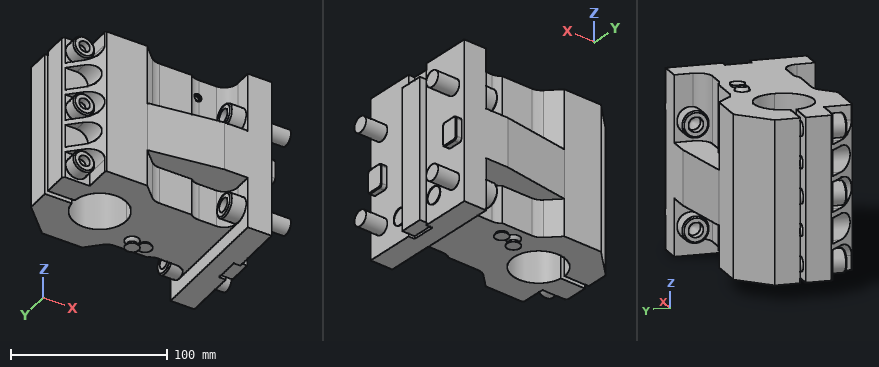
import cadquery as cq
import math


BODY_HEIGHT = 110.0
BODY_HALF_WIDTH = 40.0
FRONT_X = -40.0
FRONT_CHAMFER = 21.0
BORE_DIAMETER = 40.0
SLOT_WIDTH = 3.7
FLANGE_X = 82.0
BACK_X = 100.0
FLANGE_HALF_WIDTH = 47.5
FLANGE_DROP = 11.0
TAPER_START_X = 11.3
TAPER_END_X = 64.3

RIB_BOTTOM = 28.0
RIB_TOP = 65.0
RECESS_FLOOR_Y = 27.5
RECESS_DEEP_FLOOR_Y = 25.0
RECESS_RADIUS = 10.0
RECESS_BEND_X = 23.7
RECESS_SINK_X = 58.8
FLARE_ANGLE = 45.0

CLAMP_X = -30.0
CLAMP_SPACING = 45.0
POCKET_FLOOR_Y = -20.5
SCREW_POCKET_RADIUS = 10.0
JACK_POCKET_RADIUS = 8.65
CLAMP_SHANK_DIAMETER = 10.0
CLAMP_HEAD_DIAMETER = 16.0
CLAMP_HEAD_LENGTH = 10.0
CLAMP_SOCKET_DIAMETER = 8.0
CLAMP_SOCKET_DEPTH = 5.0

JACK_TIP_LENGTH = 1.8
JACK_BASE_DIAMETER = 8.3
JACK_TIP_DIAMETER = 6.3

BOLT_Y = 36.5
BOLT_SPACING = 70.0
BOLT_LOW_Z = 9.0
BOLT_DIAMETER = 12.0
BOLT_END_X = 117.5
BOLT_HEAD_DIAMETER = 18.0
BOLT_HEAD_LENGTH = 11.6
BOLT_SOCKET_DIAMETER = 10.0
BOLT_SOCKET_DEPTH = 6.0
HEAD_CHAMFER = 1.0
SOCKET_TIP_ANGLE = 120.0

KEY_WIDTH = 18.0
KEY_BOTTOM = -9.0
KEY_TOP = 98.0
KEY_SEAT_DEPTH = 5.0
KEY_PROJECTION = 5.2
PAD_INNER_Y = 31.0
PAD_OUTER_Y = 44.8
PAD_HEIGHT = 18.0
PAD_PROJECTION = 4.7
PAD_CORNER_RADIUS = 2.5
PAD_CHAMFER = 0.6
RING_DIAMETER = 12.8
RING_PROJECTION = 0.6
RING_Y = 17.0
RING_Z = 7.5

NOZZLE_X = 34.6
NOZZLE_Y = 17.0
NOZZLE_DIAMETER = 10.2
NOZZLE_TIP_DIAMETER = 6.4
NOZZLE_HEIGHT = 2.5
NOZZLE_BORE_DIAMETER = 4.6
NOZZLE_BORE_DEPTH = 2.0
SKIRT_LENGTH = 2.8
SKIRT_WAIST_DIAMETER = 5.8
PLUG_X = 44.2
PLUG_BASE_DIAMETER = 8.0
PLUG_DIAMETER = 10.2
PLUG_HEIGHT = 1.8
PORT_X = 58.3
PORT_Z = 96.0
PORT_DIAMETER = 4.2
PORT_DEPTH = 2.0
PORT_RIM_DIAMETER = 5.6
PORT_RIM_DEPTH = 0.5

MID_HEIGHT = BODY_HEIGHT / 2
BOLT_MID_Z = BOLT_LOW_Z + BOLT_SPACING / 2
CLAMP_HEIGHTS = [MID_HEIGHT + i * CLAMP_SPACING for i in (-1, 0, 1)]
JACK_HEIGHTS = [MID_HEIGHT + i * CLAMP_SPACING / 2 for i in (-1, 1)]
BOLT_HEIGHTS = [BOLT_LOW_Z, BOLT_LOW_Z + BOLT_SPACING]
SIDES = (-1, 1)
UP = (0, 0, 1)
DOWN = (0, 0, -1)


def block(x_range, y_range, z_range):
    """Box between the given limits along each axis."""
    lows, highs = zip(x_range, y_range, z_range)
    size = [high - low for low, high in zip(lows, highs)]
    return cq.Workplane("XY").box(*size, centered=False).translate(lows)


def rod(start, direction, length, diameter):
    """Cylinder that begins at a point and runs along a direction."""
    return cq.Workplane(cq.Solid.makeCylinder(diameter / 2, length, cq.Vector(start), cq.Vector(direction)))


def cone(start, direction, length, start_diameter, end_diameter):
    """Truncated cone that begins at a point and runs along a direction."""
    return cq.Workplane(
        cq.Solid.makeCone(start_diameter / 2, end_diameter / 2, length, cq.Vector(start), cq.Vector(direction))
    )


def socket_head(seat, outward, diameter, length, socket_diameter, socket_depth):
    """Screw head on a seat point, with a chamfered rim and a round socket that ends in a cone."""
    seat = cq.Vector(seat)
    outward = cq.Vector(outward)
    tip_length = socket_diameter / 2 / math.tan(math.radians(SOCKET_TIP_ANGLE / 2))
    socket_bottom = seat + outward * (length - socket_depth)
    head = rod(seat, outward, length - HEAD_CHAMFER, diameter)
    rim_start = seat + outward * (length - HEAD_CHAMFER)
    head = head.union(cone(rim_start, outward, HEAD_CHAMFER, diameter, diameter - 2 * HEAD_CHAMFER))
    head = head.cut(rod(socket_bottom, outward, socket_depth, socket_diameter))
    return head.cut(cone(socket_bottom, outward * -1, tip_length, socket_diameter, 0))


def make_body():
    """Clamp body with chamfered front corners, tapering out to the flange."""
    chamfer_x = FRONT_X + FRONT_CHAMFER
    chamfer_y = BODY_HALF_WIDTH - FRONT_CHAMFER
    half_outline = [
        (FRONT_X, chamfer_y),
        (chamfer_x, BODY_HALF_WIDTH),
        (TAPER_START_X, BODY_HALF_WIDTH),
        (TAPER_END_X, FLANGE_HALF_WIDTH),
        (BACK_X, FLANGE_HALF_WIDTH),
    ]
    other_half = [(x, -y) for x, y in reversed(half_outline)]
    body = cq.Workplane("XY").polyline(half_outline + other_half).close().extrude(BODY_HEIGHT)
    flange = block(
        (FLANGE_X, BACK_X), (-FLANGE_HALF_WIDTH, FLANGE_HALF_WIDTH), (-FLANGE_DROP, BODY_HEIGHT)
    )
    return body.union(flange)


def recess_tool(bottom, top):
    """Cutter for a recess on the +Y side, open outwards, between two heights."""
    flare = math.radians(FLARE_ANGLE)
    bend_tangent = RECESS_RADIUS * math.tan(flare / 2)
    bend_start = (
        RECESS_BEND_X - bend_tangent * math.cos(flare),
        RECESS_FLOOR_Y + bend_tangent * math.sin(flare),
    )
    bend_end = (RECESS_BEND_X + bend_tangent, RECESS_FLOOR_Y)
    sink_depth = RECESS_FLOOR_Y - RECESS_DEEP_FLOOR_Y
    sink_run = math.sqrt(RECESS_RADIUS**2 - (RECESS_RADIUS - sink_depth) ** 2)
    corner_y = RECESS_DEEP_FLOOR_Y + RECESS_RADIUS
    outside_y = FLANGE_HALF_WIDTH + RECESS_RADIUS
    flare_outside_x = RECESS_BEND_X - (outside_y - RECESS_FLOOR_Y) / math.tan(flare)
    return (
        cq.Workplane("XY", origin=(0, 0, bottom))
        .moveTo(flare_outside_x, outside_y)
        .lineTo(*bend_start)
        .radiusArc(bend_end, -RECESS_RADIUS)
        .lineTo(RECESS_SINK_X - sink_run, RECESS_FLOOR_Y)
        .radiusArc((RECESS_SINK_X, RECESS_DEEP_FLOOR_Y), -RECESS_RADIUS)
        .lineTo(FLANGE_X - RECESS_RADIUS, RECESS_DEEP_FLOOR_Y)
        .radiusArc((FLANGE_X, corner_y), -RECESS_RADIUS)
        .lineTo(FLANGE_X, outside_y)
        .close()
        .extrude(top - bottom)
    )


def cut_side_recesses(part):
    """Recesses above and below the rib on both sides."""
    for bottom, top in ((0, RIB_BOTTOM), (RIB_TOP, BODY_HEIGHT)):
        tool = recess_tool(bottom, top)
        part = part.cut(tool).cut(tool.mirror("XZ"))
    return part


def cut_bore_and_slot(part):
    """Through bore, opened to the front face by the clamping slot."""
    part = part.cut(rod((0, 0, 0), UP, BODY_HEIGHT, BORE_DIAMETER))
    slot = block((FRONT_X, 0), (-SLOT_WIDTH / 2, SLOT_WIDTH / 2), (0, BODY_HEIGHT))
    return part.cut(slot)


def cut_pocket(part, height, radius):
    """Round-ended pocket in the front chamfer, open towards the front."""
    part = part.cut(rod((CLAMP_X, POCKET_FLOOR_Y, height), (0, -1, 0), BODY_HALF_WIDTH, 2 * radius))
    opening = block(
        (FRONT_X, CLAMP_X), (-BODY_HALF_WIDTH, POCKET_FLOOR_Y), (height - radius, height + radius)
    )
    return part.cut(opening)


def cut_pockets(part):
    """Screw pockets and smaller jack pockets; the end pockets run square through the end faces."""
    for height in CLAMP_HEIGHTS:
        part = cut_pocket(part, height, SCREW_POCKET_RADIUS)
    for height in JACK_HEIGHTS:
        part = cut_pocket(part, height, JACK_POCKET_RADIUS)
    pocket_x = (FRONT_X, CLAMP_X + SCREW_POCKET_RADIUS)
    pocket_y = (-BODY_HALF_WIDTH, POCKET_FLOOR_Y)
    part = part.cut(block(pocket_x, pocket_y, (0, CLAMP_HEIGHTS[0])))
    return part.cut(block(pocket_x, pocket_y, (CLAMP_HEIGHTS[-1], BODY_HEIGHT)))


def add_clamp_screws(part):
    """Clamp screws across the slot, and the jack screw tips between them."""
    for height in CLAMP_HEIGHTS:
        shank = rod((CLAMP_X, -SLOT_WIDTH / 2, height), (0, 1, 0), SLOT_WIDTH, CLAMP_SHANK_DIAMETER)
        head = socket_head(
            (CLAMP_X, POCKET_FLOOR_Y, height),
            (0, -1, 0),
            CLAMP_HEAD_DIAMETER,
            CLAMP_HEAD_LENGTH,
            CLAMP_SOCKET_DIAMETER,
            CLAMP_SOCKET_DEPTH,
        )
        part = part.union(shank).union(head)
    for height in JACK_HEIGHTS:
        start = (CLAMP_X, -SLOT_WIDTH / 2, height)
        part = part.union(cone(start, (0, 1, 0), JACK_TIP_LENGTH, JACK_BASE_DIAMETER, JACK_TIP_DIAMETER))
    return part


def add_flange_bolts(part):
    """Four bolts through the flange, with their heads in the side recesses."""
    for height in BOLT_HEIGHTS:
        for side in SIDES:
            y = side * BOLT_Y
            head = socket_head(
                (FLANGE_X, y, height),
                (-1, 0, 0),
                BOLT_HEAD_DIAMETER,
                BOLT_HEAD_LENGTH,
                BOLT_SOCKET_DIAMETER,
                BOLT_SOCKET_DEPTH,
            )
            shank = rod((BACK_X, y, height), (1, 0, 0), BOLT_END_X - BACK_X, BOLT_DIAMETER)
            part = part.union(head).union(shank)
    return part


def add_back_details(part):
    """Keyway with its key, side locating pads and sealing rings on the back face."""
    key_y = (-KEY_WIDTH / 2, KEY_WIDTH / 2)
    seat_x = BACK_X - KEY_SEAT_DEPTH
    part = part.cut(block((seat_x, BACK_X), key_y, (-FLANGE_DROP, BODY_HEIGHT)))
    part = part.union(block((seat_x, BACK_X + KEY_PROJECTION), key_y, (KEY_BOTTOM, KEY_TOP)))
    pad = block(
        (BACK_X, BACK_X + PAD_PROJECTION),
        (PAD_INNER_Y, PAD_OUTER_Y),
        (BOLT_MID_Z - PAD_HEIGHT / 2, BOLT_MID_Z + PAD_HEIGHT / 2),
    )
    pad = pad.edges("|X").fillet(PAD_CORNER_RADIUS).faces(">X").chamfer(PAD_CHAMFER)
    part = part.union(pad).union(pad.mirror("XZ"))
    for side in SIDES:
        part = part.union(rod((BACK_X, side * RING_Y, RING_Z), (1, 0, 0), RING_PROJECTION, RING_DIAMETER))
    return part


def make_nozzle():
    """Rounded nozzle standing on the plane Z = 0, without its bore."""
    base_radius = NOZZLE_DIAMETER / 2
    tip_radius = NOZZLE_TIP_DIAMETER / 2
    centre_z = (NOZZLE_HEIGHT**2 + tip_radius**2 - base_radius**2) / (2 * NOZZLE_HEIGHT)
    sphere_radius = math.hypot(base_radius, centre_z)
    return (
        cq.Workplane("XZ")
        .lineTo(base_radius, 0)
        .radiusArc((tip_radius, NOZZLE_HEIGHT), -sphere_radius)
        .lineTo(0, NOZZLE_HEIGHT)
        .close()
        .revolve(360, (0, 0), (0, 1))
    )


def add_nozzles_and_plugs(part):
    """Nozzle and flared plug on each end face; the lower nozzle carries a flared skirt."""
    nozzle = make_nozzle()
    top_nozzle = nozzle.translate((NOZZLE_X, NOZZLE_Y, BODY_HEIGHT))
    bottom_nozzle = nozzle.mirror("XY").translate((NOZZLE_X, NOZZLE_Y, 0))
    skirt = cone(
        (NOZZLE_X, NOZZLE_Y, -NOZZLE_HEIGHT), DOWN, SKIRT_LENGTH, SKIRT_WAIST_DIAMETER, NOZZLE_DIAMETER
    )
    part = part.union(top_nozzle).union(bottom_nozzle).union(skirt)
    for height, direction in ((BODY_HEIGHT, UP), (0, DOWN)):
        plug_base = (PLUG_X, NOZZLE_Y, height)
        part = part.union(cone(plug_base, direction, PLUG_HEIGHT, PLUG_BASE_DIAMETER, PLUG_DIAMETER))
    nozzle_top = BODY_HEIGHT + NOZZLE_HEIGHT
    return part.cut(rod((NOZZLE_X, NOZZLE_Y, nozzle_top), DOWN, NOZZLE_BORE_DEPTH, NOZZLE_BORE_DIAMETER))


def cut_side_port(part):
    """Shallow counterbored port in the floor of the upper recess on the -Y side."""
    reach = FLANGE_HALF_WIDTH - RECESS_DEEP_FLOOR_Y
    for depth, diameter in ((PORT_DEPTH, PORT_DIAMETER), (PORT_RIM_DEPTH, PORT_RIM_DIAMETER)):
        part = part.cut(rod((PORT_X, depth - RECESS_DEEP_FLOOR_Y, PORT_Z), (0, -1, 0), reach, diameter))
    return part


result = make_body()
result = cut_side_recesses(result)
result = cut_bore_and_slot(result)
result = cut_pockets(result)
result = add_clamp_screws(result)
result = add_flange_bolts(result)
result = add_back_details(result)
result = add_nozzles_and_plugs(result)
result = cut_side_port(result)